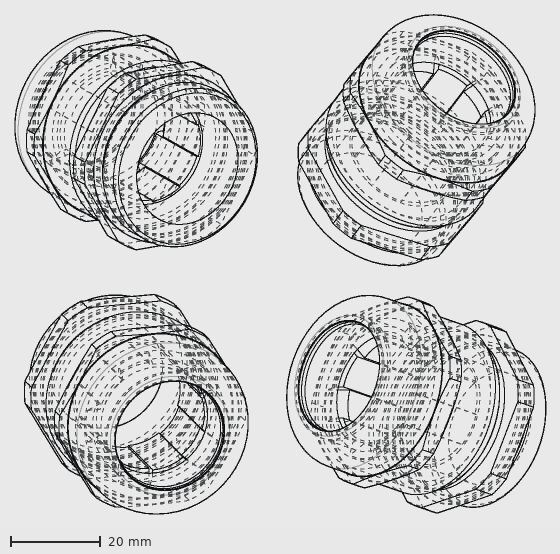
import cadquery as cq
import math


HEX_SIDES = 6
ACROSS_FLATS = 40.0
CORNER_DIAMETER = 43.5
CORNER_RADIUS = CORNER_DIAMETER / 2

NUT_DIAMETER = 39.65
NUT_RADIUS = NUT_DIAMETER / 2
NUT_LENGTH = 29.5
DOME_RADIUS = 6.0
NUT_HEX_START = 12.6
NUT_HEX_END = 17.45
NUT_HEX_CHAMFER = 0.65
LIP_RADIUS = 12.65
LIP_CHAMFER = 0.15
LIP_DEPTH = 0.95

SEAL_FRONT = 1.8
SEAL_REAR = 11.85
SEAL_BORE_RADIUS = 12.4
SEAL_RADIUS = 14.35

CAGE_REAR = 31.6
CAGE_RADIUS = 16.25
SLOT_COUNT = 5
SLOT_WIDTH = 7.4
SLOT_FLOOR_RADIUS = SEAL_BORE_RADIUS
SLOT_CONE_END = 15.4
RIB_BORE_RADIUS = 12.0
RIB_CONE_END = 13.0

BODY_LENGTH = 47.85
THREAD_RADIUS = 18.37
GROOVE_RADIUS = 17.5
THREAD_BEVEL = THREAD_RADIUS - GROOVE_RADIUS
FRONT_THREAD_END = 32.35
BODY_HEX_START = 34.8
BODY_HEX_END = 39.8
REAR_THREAD_START = 42.2
BODY_BORE_RADIUS = 12.9

RING_SECTION_RADIUS = 0.95
RING_CENTER_X = 40.15
RING_CENTER_RADIUS = GROOVE_RADIUS + RING_SECTION_RADIUS
RING_SEAT_X = RING_CENTER_X - RING_SECTION_RADIUS
RING_OUTER_RADIUS = RING_CENTER_RADIUS + RING_SECTION_RADIUS


def turn(profile):
    """Turn a closed (x, radius) profile around the X axis."""
    return profile.close().revolve(360, (0, 0, 0), (1, 0, 0))


def turned(points):
    """Turn a straight-sided (x, radius) outline around the X axis."""
    return turn(cq.Workplane("XY").polyline(points))


def cylinder(start, end, radius):
    return cq.Workplane("YZ", origin=(start, 0, 0)).circle(radius).extrude(end - start)


def hexagon(start, end):
    """Hexagon with flats at +Z and -Z, its corners turned down."""
    across_corners = ACROSS_FLATS / math.cos(math.pi / HEX_SIDES)
    prism = cq.Workplane("YZ", origin=(start, 0, 0)).polygon(HEX_SIDES, across_corners).extrude(end - start)
    return prism.intersect(cylinder(start, end, CORNER_RADIUS))


def chamfer_hexagon(hexagon_solid):
    """Cut conical chamfers on the corners at both ends of the nut's hexagon."""
    return hexagon_solid.intersect(turned([
        (NUT_HEX_START, 0),
        (NUT_HEX_START, ACROSS_FLATS / 2),
        (NUT_HEX_START + NUT_HEX_CHAMFER, CORNER_RADIUS),
        (NUT_HEX_END - NUT_HEX_CHAMFER, CORNER_RADIUS),
        (NUT_HEX_END, ACROSS_FLATS / 2),
        (NUT_HEX_END, 0),
    ]))


def make_nut():
    diagonal = DOME_RADIUS * math.sqrt(0.5)
    dome_center_radius = NUT_RADIUS - DOME_RADIUS
    shell = turn(
        cq.Workplane("XY")
        .moveTo(0, 0)
        .lineTo(0, dome_center_radius)
        .threePointArc((DOME_RADIUS - diagonal, dome_center_radius + diagonal), (DOME_RADIUS, NUT_RADIUS))
        .lineTo(NUT_LENGTH, NUT_RADIUS)
        .lineTo(NUT_LENGTH, 0)
    )
    cavity = turned([
        (0, 0),
        (0, LIP_RADIUS + LIP_CHAMFER),
        (LIP_CHAMFER, LIP_RADIUS),
        (LIP_DEPTH, LIP_RADIUS),
        (LIP_DEPTH, SEAL_RADIUS),
        (SEAL_REAR, SEAL_RADIUS),
        (SEAL_REAR, THREAD_RADIUS),
        (NUT_LENGTH, THREAD_RADIUS),
        (NUT_LENGTH, 0),
    ])
    flange = chamfer_hexagon(hexagon(NUT_HEX_START, NUT_HEX_END))
    return shell.union(flange).cut(cavity)


def make_seal():
    sleeve = cylinder(SEAL_FRONT, SEAL_REAR, SEAL_RADIUS)
    return sleeve.cut(cylinder(SEAL_FRONT, SEAL_REAR, SEAL_BORE_RADIUS))


def cage_bore(radius, cone_end):
    """Bore of the cage with a 45 degree conical mouth that ends at cone_end."""
    return turned([
        (SEAL_REAR, 0),
        (SEAL_REAR, radius + cone_end - SEAL_REAR),
        (cone_end, radius),
        (CAGE_REAR, radius),
        (CAGE_REAR, 0),
    ])


def make_cage():
    """Tube with a narrow bore, widened by parallel-sided slots that leave ribs between them."""
    blank = cylinder(SEAL_REAR, CAGE_REAR, CAGE_RADIUS)
    cage = blank.cut(cage_bore(RIB_BORE_RADIUS, RIB_CONE_END))
    slot_strip = cq.Workplane("XY").box(
        CAGE_REAR - SEAL_REAR, CAGE_RADIUS, SLOT_WIDTH, centered=(False, False, True)
    ).translate((SEAL_REAR, 0, 0))
    slot = slot_strip.intersect(cage_bore(SLOT_FLOOR_RADIUS, SLOT_CONE_END))
    for index in range(SLOT_COUNT):
        cage = cage.cut(slot.rotate((0, 0, 0), (1, 0, 0), index * 360 / SLOT_COUNT))
    return cage


def make_body():
    barrel = turned([
        (SEAL_REAR, 0),
        (SEAL_REAR, THREAD_RADIUS),
        (FRONT_THREAD_END, THREAD_RADIUS),
        (FRONT_THREAD_END + THREAD_BEVEL, GROOVE_RADIUS),
        (REAR_THREAD_START - THREAD_BEVEL, GROOVE_RADIUS),
        (REAR_THREAD_START, THREAD_RADIUS),
        (BODY_LENGTH - THREAD_BEVEL, THREAD_RADIUS),
        (BODY_LENGTH, GROOVE_RADIUS),
        (BODY_LENGTH, 0),
    ])
    ring_seat = cylinder(RING_SEAT_X, BODY_HEX_END, RING_OUTER_RADIUS)
    flange = hexagon(BODY_HEX_START, BODY_HEX_END).cut(ring_seat)
    cage_pocket = cylinder(SEAL_REAR, CAGE_REAR, CAGE_RADIUS)
    bore = cylinder(CAGE_REAR, BODY_LENGTH, BODY_BORE_RADIUS)
    return barrel.union(flange).cut(cage_pocket).cut(bore)


def make_ring():
    section = cq.Workplane("XY").center(RING_CENTER_X, RING_CENTER_RADIUS).circle(RING_SECTION_RADIUS)
    return section.revolve(360, (0, -RING_CENTER_RADIUS, 0), (1, -RING_CENTER_RADIUS, 0))


nut = make_nut().solids()
seal = make_seal().solids()
cage = make_cage().solids()
body = make_body().solids()
ring = make_ring().solids()

result = cq.Compound.makeCompound([nut.val(), seal.val(), cage.val(), body.val(), ring.val()])